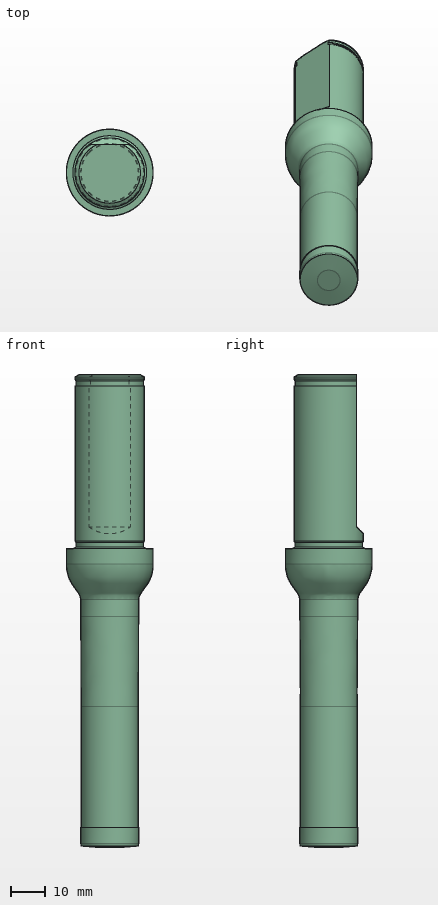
import cadquery as cq

length = 136.0

shank_radius = 20.0 / 2
groove_radius = 19.5 / 2
shank_end_radius = 8.8
collar_radius = 25.0 / 2
collar_step_radius = 10.6
neck_radius = 16.7 / 2
stem_radius = 16.5 / 2
tip_radius = 16.7 / 2
tip_face_radius = 3.3

tip_rim_z = 0.4
tip_chamfer_z = 1.1
tip_top_z = 5.7
stem_top_z = 40.5
taper_top_z = 66.4
neck_top_z = 71.3
collar_bottom_z = 81.5
collar_top_z = 86.0
collar_step_z = 86.4
lower_groove_top_z = 87.7
shank_bottom_z = 88.1
upper_groove_bottom_z = 132.7
upper_groove_top_z = 134.1
end_band_bottom_z = 134.8
end_band_top_z = 135.3

tip_chamfer = 0.1

shoulder_neck_pull = 2.7
shoulder_collar_pull = 6.1

flat_y = 8.0
flat_bottom_z = 92.2


def revolve_about_z(profile):
    """Revolve a closed radius-height profile about the Z axis."""
    return profile.close().revolve(360, (0, 0, 0), (0, 1, 0))


def make_flat_cutter():
    """Solid that removes everything beyond the driving flat."""
    reach = collar_radius - flat_y
    return (
        cq.Workplane("YZ")
        .moveTo(flat_y, length)
        .lineTo(flat_y, flat_bottom_z)
        .lineTo(flat_y + reach, flat_bottom_z - reach)
        .lineTo(flat_y + reach, length)
        .close()
        .extrude(collar_radius, both=True)
    )


def make_holder():
    """Stem, shoulder, collar and grooved shank with its driving flat."""
    profile = (
        cq.Workplane("XZ")
        .moveTo(0, tip_top_z)
        .lineTo(stem_radius, tip_top_z)
        .lineTo(stem_radius, stem_top_z)
        .lineTo(neck_radius, taper_top_z)
        .lineTo(neck_radius, neck_top_z)
        .bezier(
            [
                (neck_radius, neck_top_z + shoulder_neck_pull),
                (collar_radius, collar_bottom_z - shoulder_collar_pull),
                (collar_radius, collar_bottom_z),
            ],
            includeCurrent=True,
        )
        .lineTo(collar_radius, collar_top_z)
        .lineTo(collar_step_radius, collar_top_z)
        .lineTo(groove_radius, collar_step_z)
        .lineTo(groove_radius, lower_groove_top_z)
        .lineTo(shank_radius, shank_bottom_z)
        .lineTo(shank_radius, upper_groove_bottom_z)
        .lineTo(groove_radius, upper_groove_bottom_z)
        .lineTo(groove_radius, upper_groove_top_z)
        .lineTo(shank_radius, end_band_bottom_z)
        .lineTo(shank_radius, end_band_top_z)
        .lineTo(shank_end_radius, length)
        .lineTo(0, length)
    )
    return revolve_about_z(profile).cut(make_flat_cutter())


def make_tip():
    """Drill tip: a short cylinder with a chamfered rim and a very shallow blunt cone."""
    profile = (
        cq.Workplane("XZ")
        .lineTo(tip_face_radius, 0)
        .lineTo(tip_radius - tip_chamfer, tip_rim_z)
        .lineTo(tip_radius, tip_chamfer_z)
        .lineTo(tip_radius, tip_top_z)
        .lineTo(0, tip_top_z)
    )
    return revolve_about_z(profile)


holder = make_holder()
tip = make_tip()

result = cq.Compound.makeCompound([holder.val(), tip.val()])